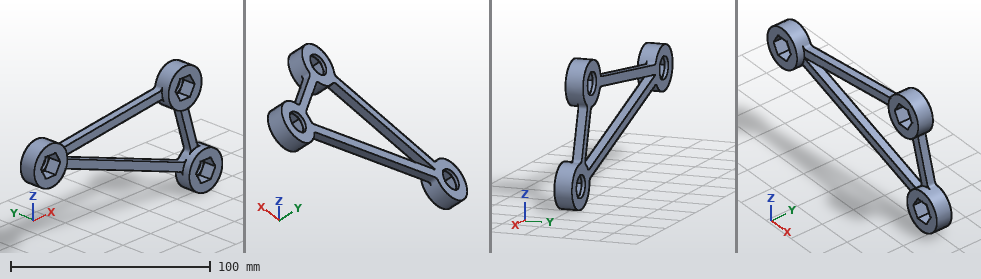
import cadquery as cq
import math

overall_x = 136.2
overall_z = 73.8
boss_height = 9.5
boss_diameter = 24.0
boss_radius = boss_diameter / 2

arm_width = 5.0
arm_thickness = 4.9
root_fillet = 2.0

hex_across_flats = 12.0
bore_diameter = 11.9
hex_depth = 7.5

upper_offset_x = 97.3
upper_offset_z = 11.7
left = (0.0, 0.0)
upper = (upper_offset_x, upper_offset_z)
lower = (overall_x - boss_diameter, upper_offset_z - (overall_z - boss_diameter))
centers = [left, upper, lower]
arms = [(left, upper), (upper, lower), (lower, left)]


def plane_at(y):
    """XZ plane at the given Y, extruding toward +Y (its local y axis is -Z)."""
    return cq.Workplane(cq.Plane(origin=(0, y, 0), xDir=(1, 0, 0), normal=(0, 1, 0)))


def local(points):
    return [(x, -z) for x, z in points]


def arm(start, end):
    length = math.dist(start, end)
    slope = math.degrees(math.atan2(end[1] - start[1], end[0] - start[0]))
    bar = cq.Workplane("XY").box(length, arm_thickness, arm_width, centered=(False, False, True))
    bar = bar.rotate((0, 0, 0), (0, 1, 0), -slope)
    return bar.translate((start[0], boss_height - arm_thickness, start[1]))


def root_corner(center, toward, side):
    """Point where one edge of an arm meets the boss it starts from."""
    heading = math.atan2(toward[1] - center[1], toward[0] - center[0])
    angle = heading + side * math.asin(arm_width / 2 / boss_radius)
    return (
        center[0] + boss_radius * math.cos(angle),
        boss_height - arm_thickness / 2,
        center[1] + boss_radius * math.sin(angle),
    )


frame = plane_at(boss_height - arm_thickness).pushPoints(local(centers))
frame = frame.circle(boss_radius).extrude(arm_thickness)
for start, end in arms:
    frame = frame.union(arm(start, end))

root_corners = [
    root_corner(left, upper, 1),
    root_corner(left, lower, -1),
]
for center, other in [(upper, lower), (lower, upper)]:
    for toward in (left, other):
        for side in (1, -1):
            root_corners.append(root_corner(center, toward, side))
for corner in root_corners:
    root_edge = frame.edges("|Y").edges(cq.selectors.NearestToPointSelector(corner))
    frame = root_edge.fillet(root_fillet)

bosses = plane_at(0).pushPoints(local(centers)).circle(boss_radius).extrude(boss_height)
bores = plane_at(0).pushPoints(local(centers)).circle(bore_diameter / 2).extrude(boss_height)
hex_across_corners = hex_across_flats / math.cos(math.pi / 6)
sockets = plane_at(0).pushPoints(local(centers)).polygon(6, hex_across_corners).extrude(hex_depth)

result = frame.union(bosses).cut(bores).cut(sockets)